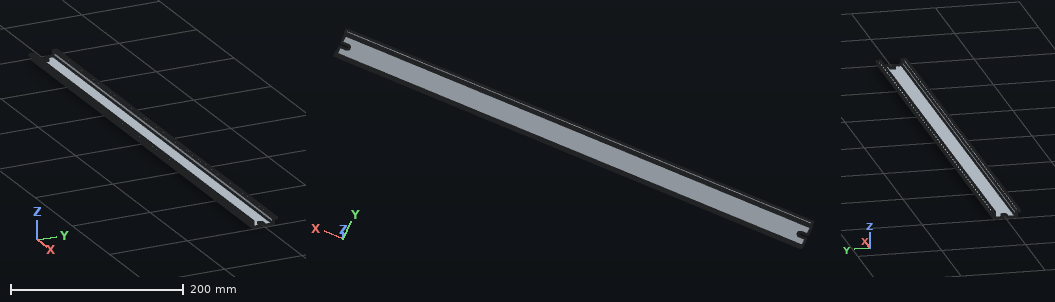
import cadquery as cq

length = 591.0
width = 35.0
height = 7.5

thickness = 1.05
channel_width = 27.0

slot_width = 5.5
slot_straight_length = 8.0
slot_depth = slot_straight_length + slot_width / 2


def rail_section():
    """Outline across the rail: a channel with an outward flange on each side."""
    half_width = width / 2
    half_outer = channel_width / 2
    half_inner = half_outer - thickness
    flange_underside = height - thickness
    right_side = [
        (half_outer, 0),
        (half_outer, flange_underside),
        (half_width, flange_underside),
        (half_width, height),
        (half_inner, height),
        (half_inner, thickness),
    ]
    left_side = [(-y, z) for y, z in reversed(right_side)]
    return cq.Workplane("YZ").polyline(right_side + left_side).close()


def end_slots():
    """Cutters for the round-ended slots that open at each end of the floor."""
    return (
        cq.Workplane("XY")
        .pushPoints([(-length / 2, 0), (length / 2, 0)])
        .slot2D(2 * slot_depth, slot_width)
        .extrude(height)
    )


rail_blank = rail_section().extrude(length / 2, both=True)
result = rail_blank.cut(end_slots())